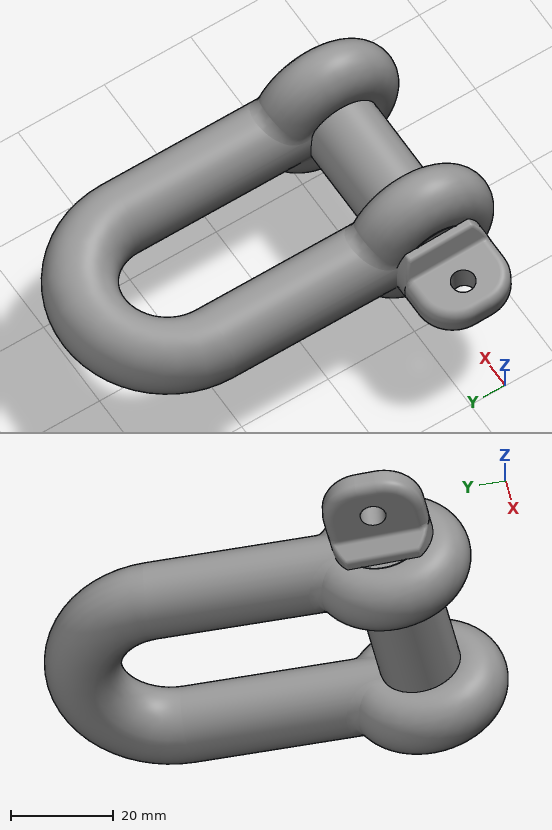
import cadquery as cq
overall_length = 87.9
rod_diameter = 15.0
leg_offset = 17.0
eye_diameter = 32.0
eye_thickness = 13.0
pin_diameter = 16.0
leg_fillet = 3.0

rod_radius = rod_diameter / 2
eye_tube_radius = eye_thickness / 2
eye_ring_radius = eye_diameter / 2 - eye_tube_radius
pin_radius = pin_diameter / 2
bend_y = overall_length - eye_diameter / 2 - leg_offset - rod_radius
leg_root_y = 5.3

total_width = 65.0
pin_end_x = 25.0
pin_end_fillet = 0.5
lug_tip_x = pin_end_x - total_width
head_base_x = -(leg_offset + eye_tube_radius)
lug_width = 20.0
lug_thickness = 6.0
lug_corner_radius = 8.0
lug_edge_fillet = 2.0
lug_hole_diameter = 5.0
lug_hole_from_tip = 7.2
head_height = 13.7
head_rim_x = -25.2
flare_start_x = -27.2
flare_tip_half_height = lug_thickness / 2 - lug_edge_fillet
flare_slope = (head_height - lug_thickness) / 2 / (head_rim_x - flare_start_x)
flare_tip_x = head_rim_x - (head_height / 2 - flare_tip_half_height) / flare_slope
head_crest_fillet = 1.0
flare_root_fillet = 1.0
head_rim_fillet = 0.7
selection_margin = 0.1
head_tilt = -2.0


def make_bend():
    """Half-turn of round rod that joins the two legs."""
    return (
        cq.Workplane("XZ", origin=(leg_offset, bend_y, 0))
        .circle(rod_radius)
        .revolve(180, (-leg_offset, 0), (-leg_offset, 1))
    )


def make_leg(x):
    """Straight leg blended into its ring-shaped eye."""
    ring_plane = cq.Plane(origin=(x, eye_ring_radius, 0), xDir=(0, -1, 0), normal=(0, 0, 1))
    eye = (
        cq.Workplane(ring_plane)
        .circle(eye_tube_radius)
        .revolve(360, (eye_ring_radius, 0), (eye_ring_radius, 1))
    )
    leg = cq.Workplane("XZ", origin=(x, bend_y, 0)).circle(rod_radius).extrude(bend_y - leg_root_y)
    return eye.union(leg).edges("%BSPLINE").fillet(leg_fillet)


def make_shackle():
    """Bow with both eyes bored through for the pin."""
    bow = make_bend()
    for x in (-leg_offset, leg_offset):
        bow = bow.union(make_leg(x))
    bore = cq.Workplane("YZ").circle(pin_radius).extrude(total_width, both=True)
    return bow.cut(bore)


def make_lug():
    """Flat lug with a rounded outer end and rounded rims."""
    root_length = flare_start_x - lug_tip_x
    lug = (
        cq.Workplane("XY", origin=(lug_tip_x + root_length / 2, 0, 0))
        .box(root_length, lug_width, lug_thickness)
        .edges("|Z and <X")
        .fillet(lug_corner_radius)
    )
    rim = cq.selectors.BoxSelector(
        (lug_tip_x - selection_margin, -lug_width, -lug_thickness),
        (flare_start_x - selection_margin, lug_width, lug_thickness),
    )
    return lug.faces("|Z").edges(rim).fillet(lug_edge_fillet)


def make_head():
    """Round head flared in Z from the flat rim of the lug to two flats."""
    half_head = head_height / 2
    flare = (
        cq.Workplane("XZ")
        .polyline([
            (flare_tip_x, -flare_tip_half_height),
            (head_rim_x, -half_head),
            (head_base_x, -half_head),
            (head_base_x, half_head),
            (head_rim_x, half_head),
            (flare_tip_x, flare_tip_half_height),
        ])
        .close()
        .extrude(lug_width / 2, both=True)
        .edges("|Y and (>Z or <Z) and (not >X)")
        .fillet(head_crest_fillet)
    )
    disc = (
        cq.Workplane("YZ", origin=(head_base_x, 0, 0))
        .circle(lug_width / 2)
        .extrude(flare_tip_x - head_base_x)
    )
    return flare.intersect(disc)


def make_lug_and_head():
    """Lug joined to the head, with rounded head rims and flare roots."""
    half_lug = lug_thickness / 2
    blank = make_head().union(make_lug())
    for side in (-1, 1):
        for half in (-1, 1):
            rim = cq.selectors.BoxSelector(
                (flare_tip_x, side * pin_radius / 2, half * half_lug),
                (head_base_x - selection_margin, side * lug_width, half * head_height),
            )
            blank = blank.edges(rim).fillet(head_rim_fillet)
    flare_roots = cq.selectors.BoxSelector(
        (flare_start_x - selection_margin, -selection_margin, -lug_thickness),
        (flare_start_x + selection_margin, selection_margin, lug_thickness),
    )
    return blank.edges("|Y").edges(flare_roots).fillet(flare_root_fillet)


def make_pin():
    """Pin with its head and its drilled lug, turned about the pin axis."""
    shank = (
        cq.Workplane("YZ", origin=(head_base_x, 0, 0))
        .circle(pin_radius)
        .extrude(pin_end_x - head_base_x)
        .faces(">X")
        .edges()
        .fillet(pin_end_fillet)
    )
    lug_hole = (
        cq.Workplane("XY", origin=(lug_tip_x + lug_hole_from_tip, 0, 0))
        .circle(lug_hole_diameter / 2)
        .extrude(lug_thickness, both=True)
    )
    pin = make_lug_and_head().cut(lug_hole).union(shank)
    return pin.rotate((0, 0, 0), (1, 0, 0), head_tilt)


shackle = make_shackle()
pin = make_pin()

result = cq.Compound.makeCompound([shackle.val(), pin.val()])